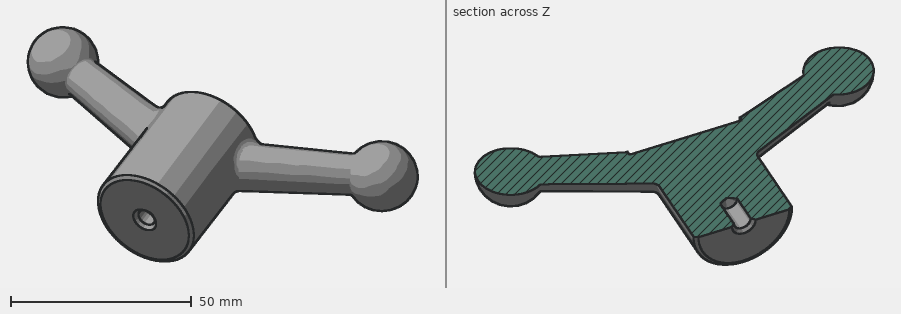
import cadquery as cq
import math

hub_diameter = 30.0
hub_length = 38.9
chamfer_inset = 1.2
chamfer_length = 0.7

hole_diameter = 5.0
countersink_diameter = 7.2
hole_depth = 10.0
drill_point_angle = 118

overall_span = 119.4
overall_depth = 56.0
ball_diameter = 19.5
arm_angle = 22
arm_root_diameter = 13.5
arm_tip_diameter = 11.6
root_fillet = 2.0
neck_fillet = 0.6

hub_radius = hub_diameter / 2
hub_front = -hub_length / 2
hub_back = hub_length / 2
ball_radius = ball_diameter / 2
ball_x = overall_span / 2 - ball_radius
ball_y = hub_front + overall_depth - ball_radius
arm_length = ball_x / math.cos(math.radians(arm_angle))
root_distance = hub_radius / math.cos(math.radians(arm_angle))
taper = (arm_root_diameter - arm_tip_diameter) / 2 / (arm_length - ball_radius - root_distance)


def arm_radius(distance):
    """Arm radius at a distance from the hub axis."""
    return arm_root_diameter / 2 - taper * (distance - root_distance)


def make_arm():
    """Revolved arm and ball on the +X side, starting on the hub axis."""
    tip_radius = arm_radius(arm_length)
    slope = 1 + taper**2
    neck_offset = (
        tip_radius * taper + math.sqrt(ball_radius**2 * slope - tip_radius**2)
    ) / slope
    neck_position = arm_length - neck_offset
    neck = (arm_radius(neck_position), neck_position)
    return (
        cq.Workplane("XY")
        .lineTo(arm_radius(0), 0)
        .lineTo(*neck)
        .threePointArc((ball_radius, arm_length), (0, arm_length + ball_radius))
        .close()
        .revolve(360, (0, 0), (0, 1))
        .edges(cq.selectors.NearestToPointSelector((0, neck_position, 0)))
        .fillet(neck_fillet)
        .translate((0, -arm_length, 0))
        .rotate((0, 0, 0), (0, 0, 1), arm_angle - 90)
        .translate((ball_x, ball_y, 0))
    )


def make_hub_with_arms():
    """Blend the arms into an over-long hub, then trim the hub to length."""
    trim_length = hub_length / 2
    hub = (
        cq.Workplane("XZ", origin=(0, hub_back + trim_length, 0))
        .circle(hub_radius)
        .extrude(hub_length + trim_length)
    )
    arm = make_arm()
    body = hub.union(arm).union(arm.mirror("YZ"))
    root_edges = cq.selectors.BoxSelector(
        (-hub_radius - root_fillet, hub_front + chamfer_length, -arm_root_diameter),
        (hub_radius + root_fillet, hub_back + root_fillet, arm_root_diameter),
    )
    body = body.edges("not %CIRCLE").edges("not %LINE").edges(root_edges).fillet(root_fillet)
    trim = (
        cq.Workplane("XZ", origin=(0, hub_back + trim_length, 0))
        .circle(hub_radius + root_fillet)
        .extrude(trim_length)
    )
    return body.cut(trim)


def make_front_chamfer():
    """Ring removed from the rim of the hub's front end."""
    return (
        cq.Workplane("XY")
        .polyline([
            (hub_radius - chamfer_inset, hub_front),
            (hub_radius, hub_front),
            (hub_radius, hub_front + chamfer_length),
        ])
        .close()
        .revolve(360, (0, 0), (0, 1))
    )


def make_hole():
    """Revolved cutter for the hole in the front end."""
    hole_radius = hole_diameter / 2
    mouth_radius = countersink_diameter / 2
    countersink_depth = mouth_radius - hole_radius
    point_length = hole_radius / math.tan(math.radians(drill_point_angle / 2))
    return (
        cq.Workplane("XY")
        .polyline([
            (0, hub_front),
            (mouth_radius, hub_front),
            (hole_radius, hub_front + countersink_depth),
            (hole_radius, hub_front + hole_depth),
            (0, hub_front + hole_depth + point_length),
        ])
        .close()
        .revolve(360, (0, 0), (0, 1))
    )


result = make_hub_with_arms().cut(make_front_chamfer()).cut(make_hole())